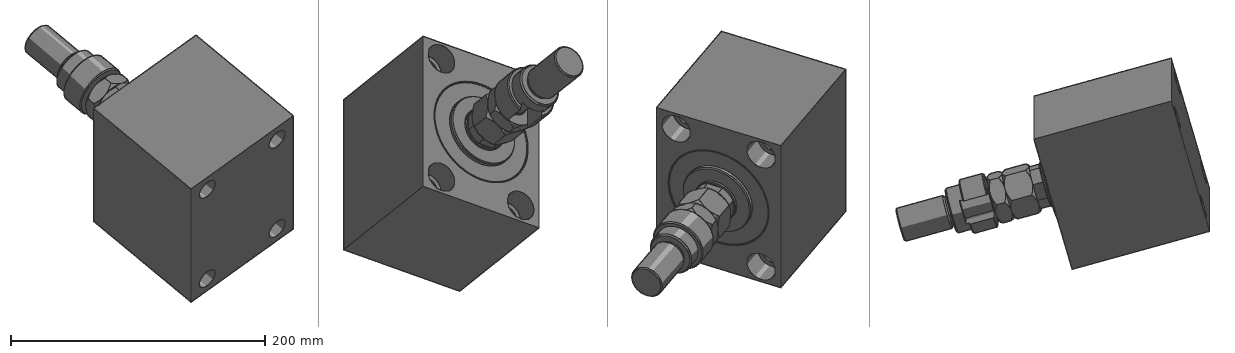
import cadquery as cq
import math

TOTAL_LENGTH = 237.5
BLOCK_LENGTH = 112.5
BLOCK_WIDTH = 110.0
BLOCK_HEIGHT = 140.0
BLOCK_FACE_X = TOTAL_LENGTH - BLOCK_LENGTH

HOLE_SPACING_Y = 75.0
HOLE_SPACING_Z = 110.2
HOLE_DIAMETER = 17.0
COUNTERBORE_DIAMETER = 25.0
COUNTERBORE_DEPTH = 19.0

GROOVE_OUTER_RADIUS = 44.6
GROOVE_INNER_RADIUS = 43.7
GROOVE_DEPTH = 1.0
BOSS_RADIUS = 30.0
BOSS_HEIGHT = 3.8
BOSS_CHAMFER_LENGTH = 1.2
BOSS_CHAMFER_DROP = 0.7
BOSS_FACE_X = BLOCK_FACE_X - BOSS_HEIGHT

ROD_RADIUS = 18.0
ROD_CHAMFER = 0.7
ROUND_LENGTH = 2.5
WRENCH_LENGTH = 8.0
WRENCH_RADIUS = 17.3
WRENCH_FLATS = 32.0
ROD_SHOULDER_X = BOSS_FACE_X - ROUND_LENGTH
ROD_END_X = ROD_SHOULDER_X - WRENCH_LENGTH

HEX_FLATS = 36.3
HEX_CORNER_RADIUS = HEX_FLATS / math.sqrt(3)
HEX_CHAMFER = HEX_CORNER_RADIUS - HEX_FLATS / 2
LOCK_NUT_LENGTH = 22.0
LOCK_NUT_X = ROD_END_X - LOCK_NUT_LENGTH
PIN_HEX_LENGTH = 12.4
PIN_HEX_X = LOCK_NUT_X - PIN_HEX_LENGTH

NECK_RADIUS = 9.3
NECK_LENGTH = 1.7
NECK_CHAMFER = 0.7
SHANK_RADIUS = NECK_RADIUS - NECK_CHAMFER

STEM_RADIUS = 13.5
STEM_END_X = 40.0
STEM_TIP_CHAMFER = 1.0
UNDERCUT_RADIUS = 12.0
COLLAR_RADIUS = 18.3
COLLAR_START_X = 41.5
COLLAR_CHAMFER = 1.2
RING_DIAMETER = 44.0
RING_RADIUS = RING_DIAMETER / 2
RING_START_X = 54.0
RING_LENGTH = 20.2
RING_CHAMFER = 1.0
RING_END_X = RING_START_X + RING_LENGTH
SLOT_WIDTH = 19.5
SLOT_START_X = 51.0


def cylinder(start_x, end_x, radius):
    """Cylinder on the X axis between two positions."""
    return cq.Workplane("YZ", origin=(start_x, 0, 0)).circle(radius).extrude(end_x - start_x)


def make_groove():
    """Ring-shaped cutter with a conical outer wall and a cylindrical inner wall."""
    return (
        cq.Workplane("XY")
        .moveTo(BLOCK_FACE_X, GROOVE_INNER_RADIUS)
        .lineTo(BLOCK_FACE_X, GROOVE_OUTER_RADIUS)
        .lineTo(BLOCK_FACE_X + GROOVE_DEPTH, GROOVE_INNER_RADIUS)
        .close()
        .revolve(360, (0, 0, 0), (1, 0, 0))
    )


def make_boss():
    """Disc around the rod exit, with a steep chamfer on its front edge."""
    return (
        cq.Workplane("XY")
        .moveTo(BOSS_FACE_X, 0)
        .lineTo(BOSS_FACE_X, BOSS_RADIUS - BOSS_CHAMFER_DROP)
        .lineTo(BOSS_FACE_X + BOSS_CHAMFER_LENGTH, BOSS_RADIUS)
        .lineTo(BLOCK_FACE_X, BOSS_RADIUS)
        .lineTo(BLOCK_FACE_X, 0)
        .close()
        .revolve(360, (0, 0, 0), (1, 0, 0))
    )


def make_block():
    """Cylinder block with its mounting holes, groove and boss."""
    block = cq.Workplane("XY").box(BLOCK_LENGTH, BLOCK_WIDTH, BLOCK_HEIGHT)
    block = block.translate((TOTAL_LENGTH - BLOCK_LENGTH / 2, 0, 0))
    block = (
        block.faces("<X").workplane(centerOption="CenterOfBoundBox")
        .rarray(HOLE_SPACING_Y, HOLE_SPACING_Z, 2, 2)
        .cboreHole(HOLE_DIAMETER, COUNTERBORE_DIAMETER, COUNTERBORE_DEPTH)
    )
    return block.cut(make_groove()).union(make_boss())


def make_rod():
    """Piston rod end with four wrench flats."""
    rod = cylinder(ROD_SHOULDER_X, BOSS_FACE_X, ROD_RADIUS).faces("<X").chamfer(ROD_CHAMFER)
    square = cq.Workplane("YZ", origin=(ROD_END_X, 0, 0)).rect(WRENCH_FLATS, WRENCH_FLATS)
    wrench = cylinder(ROD_END_X, ROD_SHOULDER_X, WRENCH_RADIUS)
    return rod.union(wrench.intersect(square.extrude(WRENCH_LENGTH)))


def make_hexagon(start_x, length):
    """Hexagonal prism with two corners on the Z axis and both ends chamfered."""
    prism = (
        cq.Workplane("YZ", origin=(start_x, 0, 0))
        .transformed(rotate=(0, 0, 90))
        .polygon(6, 2 * HEX_CORNER_RADIUS)
        .extrude(length)
    )
    envelope = cylinder(start_x, start_x + length, HEX_CORNER_RADIUS)
    return prism.intersect(envelope.faces("<X or >X").chamfer(HEX_CHAMFER))


def make_lock_nut():
    """Long hexagon against the rod end."""
    return make_hexagon(LOCK_NUT_X, LOCK_NUT_LENGTH)


def make_pin():
    """Short hexagon whose shank reaches into the slot of the coupling."""
    neck_x = PIN_HEX_X - NECK_LENGTH
    neck = cylinder(neck_x, PIN_HEX_X, NECK_RADIUS).faces("<X").chamfer(NECK_CHAMFER)
    shank = cylinder(SLOT_START_X, neck_x, SHANK_RADIUS)
    return make_hexagon(PIN_HEX_X, PIN_HEX_LENGTH).union(neck).union(shank)


def make_slot():
    """Round-ended slot cutter, open to the -Z side and to the ring's end face."""
    length = RING_END_X - SLOT_START_X
    opening = (
        cq.Workplane("YZ", origin=(SLOT_START_X, -SLOT_WIDTH / 2, -RING_RADIUS))
        .rect(SLOT_WIDTH, RING_RADIUS, centered=False)
        .extrude(length)
    )
    return opening.union(cylinder(SLOT_START_X, RING_END_X, SLOT_WIDTH / 2))


def make_coupling():
    """Stem, undercut, collar and ring in one piece, slotted to receive the pin."""
    stem = cylinder(0, STEM_END_X, STEM_RADIUS)
    stem = stem.faces("<X").chamfer(STEM_TIP_CHAMFER)
    stem = stem.faces(">X").chamfer(STEM_RADIUS - UNDERCUT_RADIUS)
    undercut = cylinder(STEM_END_X, COLLAR_START_X, UNDERCUT_RADIUS)
    collar = cylinder(COLLAR_START_X, RING_START_X, COLLAR_RADIUS).faces("<X").chamfer(COLLAR_CHAMFER)
    ring = cylinder(RING_START_X, RING_END_X, RING_RADIUS).faces("<X or >X").chamfer(RING_CHAMFER)
    return stem.union(undercut).union(collar).union(ring).cut(make_slot())


block = make_block()
rod = make_rod()
lock_nut = make_lock_nut()
pin = make_pin()
coupling = make_coupling()

bodies = [block, rod, lock_nut, pin, coupling]
result = cq.Compound.makeCompound([body.solids().val() for body in bodies])